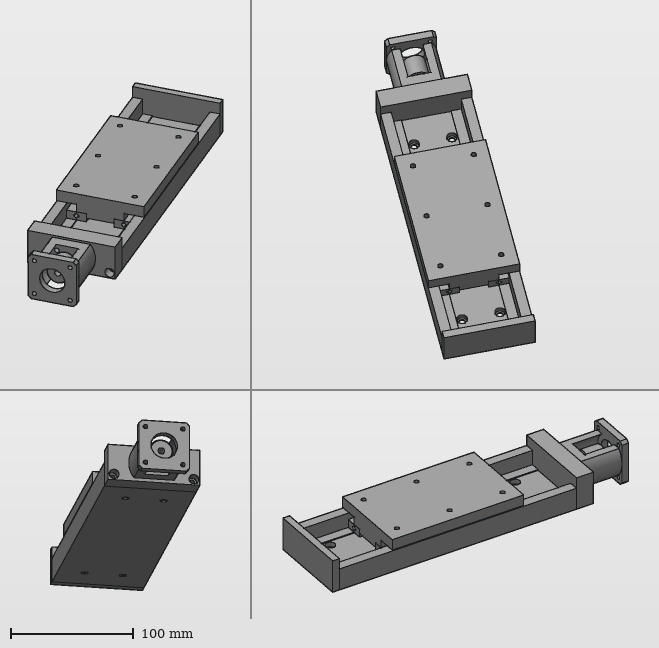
import cadquery as cq


total_length = 295.8
stage_width = 76.3
end_height = 30.5
axis_height = 15.7

flange_size = 42.0
flange_thickness = 6.5
flange_chamfer = 2.7
flange_hole_spacing = 31.0
flange_hole_diameter = 3.5
pilot_diameter = 22.0

barrel_length = 38.2
barrel_height = 25.7
cavity_diameter = 32.0
cavity_length = 28.5
barrel_bolt_spacing_x = 18.3
barrel_bolt_spacing_z = 14.8
barrel_bolt_diameter = 4.0

coupler_diameter = 19.5
coupler_chamfer = 1.0
coupler_bore = 5.3
coupler_length = 19.0
coupler_gap = 6.2

block_length = 16.3
block_bolt_inset = 5.0
block_bolt_diameter = 4.7
block_bolt_head_diameter = 8.0
block_bolt_head_depth = 9.0

end_plate_thickness = 6.5

bed_height = 20.5
bed_wall = 9.0
bed_floor = 5.5
bed_ledge_height = 6.5
bed_hole_spacing_x = 31.6
bed_hole_inset_y = 25.0
bed_hole_diameter = 5.5
bed_hole_head_diameter = 8.5
bed_hole_head_depth = 4.5

table_length = 126.5
table_top = 31.5
table_underside = 21.3
table_keel_bottom = 10.0
table_hole_pitch = 51.0
table_hole_diameter = 4.0

rail_width = 8.5
rail_height = 7.7
rail_groove_depth = 2.5

channel_width = stage_width - 2 * bed_wall
rail_seam_width = channel_width - 2 * rail_width
table_keel_width = rail_seam_width - 2 * rail_width
rail_bottom = bed_ledge_height
rail_top = rail_bottom + rail_height

barrel_start = flange_thickness
block_start = barrel_start + barrel_length
bed_start = block_start + block_length
bed_end = total_length - end_plate_thickness
bed_length = bed_end - bed_start
bed_middle = (bed_start + bed_end) / 2
table_start = bed_middle - table_length / 2


def box(width, y_start, length, z_bottom, z_top, x_center=0.0):
    """Box centred on x_center, given by its Y start and its bottom and top heights."""
    return (
        cq.Workplane("XY")
        .box(width, length, z_top - z_bottom, centered=(True, False, False))
        .translate((x_center, y_start, z_bottom))
    )


def cylinder_y(diameter, y_start, length, x=0.0, z=axis_height):
    """Cylinder pointing along +Y."""
    return cq.Workplane(cq.Solid.makeCylinder(
        diameter / 2, length, cq.Vector(x, y_start, z), cq.Vector(0, 1, 0)))


def corners(spacing_x, spacing_z):
    """Four X, Z positions placed symmetrically about the drive axis."""
    return [
        (side_x * spacing_x / 2, axis_height + side_z * spacing_z / 2)
        for side_x in (-1, 1)
        for side_z in (-1, 1)
    ]


def make_bed():
    """Channel with a raised ledge along each wall, on which the outer rails stand."""
    hole_spacing_y = bed_length - 2 * bed_hole_inset_y
    bed = box(stage_width, bed_start, bed_length, 0, bed_height)
    bed = bed.cut(box(channel_width, bed_start, bed_length, bed_ledge_height, bed_height))
    bed = bed.cut(box(rail_seam_width, bed_start, bed_length, bed_floor, bed_height))
    return (
        bed.copyWorkplane(cq.Workplane("XY", origin=(0, bed_middle, bed_floor)))
        .rarray(bed_hole_spacing_x, hole_spacing_y, 2, 2)
        .cboreHole(bed_hole_diameter, bed_hole_head_diameter, bed_hole_head_depth)
    )


def make_end_plate():
    return box(stage_width, bed_end, end_plate_thickness, 0, end_height)


def make_drive_block():
    block = box(stage_width, block_start, block_length, 0, end_height)
    bolt_x = stage_width / 2 - block_bolt_inset
    for x in (-bolt_x, bolt_x):
        block = block.cut(cylinder_y(block_bolt_diameter, block_start, block_length, x, block_bolt_inset))
        block = block.cut(
            cylinder_y(block_bolt_head_diameter, block_start, block_bolt_head_depth, x, block_bolt_inset))
    return block


def make_motor_mount():
    half_size = flange_size / 2
    flange = box(flange_size, 0, flange_thickness, axis_height - half_size, axis_height + half_size)
    flange = flange.edges("|Y").chamfer(flange_chamfer)
    flange = flange.cut(cylinder_y(pilot_diameter, 0, flange_thickness))
    for x, z in corners(flange_hole_spacing, flange_hole_spacing):
        flange = flange.cut(cylinder_y(flange_hole_diameter, 0, flange_thickness, x, z))

    half_height = barrel_height / 2
    barrel = cylinder_y(flange_size, barrel_start, barrel_length).intersect(
        box(flange_size, barrel_start, barrel_length, axis_height - half_height, axis_height + half_height))
    barrel = barrel.cut(cylinder_y(cavity_diameter, barrel_start, cavity_length))
    for x, z in corners(barrel_bolt_spacing_x, barrel_bolt_spacing_z):
        barrel = barrel.cut(
            cylinder_y(barrel_bolt_diameter, barrel_start, barrel_length, x, z))
    return flange.union(barrel)


def make_coupler():
    start = barrel_start + coupler_gap
    coupler = cylinder_y(coupler_diameter, start, coupler_length).faces("<Y or >Y").chamfer(coupler_chamfer)
    return coupler.cut(cylinder_y(coupler_bore, start, coupler_length))


def make_table():
    """Plate with a stepped underside: a neck over the inner rails and a keel between them."""
    table = box(stage_width, table_start, table_length, table_underside, table_top)
    table = table.union(box(rail_seam_width, table_start, table_length, rail_top, table_underside))
    table = table.union(box(table_keel_width, table_start, table_length, table_keel_bottom, rail_top))
    return (
        table.copyWorkplane(cq.Workplane("XY", origin=(0, bed_middle, table_top)))
        .rarray(table_hole_pitch, table_hole_pitch, 2, 3)
        .hole(table_hole_diameter, table_top - table_underside)
    )


def make_rail(side, direction):
    """Rail with a V groove in its mating face; side is -1 or +1.

    direction is +1 for the outer rail, which lies against the bed wall,
    and -1 for the inner rail, which lies against the table keel.
    """
    seam_x = side * rail_seam_width / 2
    outward = side * direction
    back_x = seam_x + outward * rail_width
    groove_x = seam_x + outward * rail_groove_depth
    rail_middle = rail_bottom + rail_height / 2
    section = [
        (seam_x, rail_bottom),
        (back_x, rail_bottom),
        (back_x, rail_top),
        (seam_x, rail_top),
        (seam_x, rail_middle + rail_groove_depth),
        (groove_x, rail_middle),
        (seam_x, rail_middle - rail_groove_depth),
    ]
    return cq.Workplane("XZ", origin=(0, table_start, 0)).polyline(section).close().extrude(-table_length)


bed = make_bed()
end_plate = make_end_plate()
drive_block = make_drive_block()
motor_mount = make_motor_mount()
coupler = make_coupler()
table = make_table()

rails = []
for side in (-1, 1):
    for direction in (-1, 1):
        rails.append(make_rail(side, direction))

result = cq.Compound.makeCompound([
    bed.val(),
    end_plate.val(),
    drive_block.val(),
    motor_mount.val(),
    coupler.val(),
    table.val(),
    *[rail.val() for rail in rails],
])